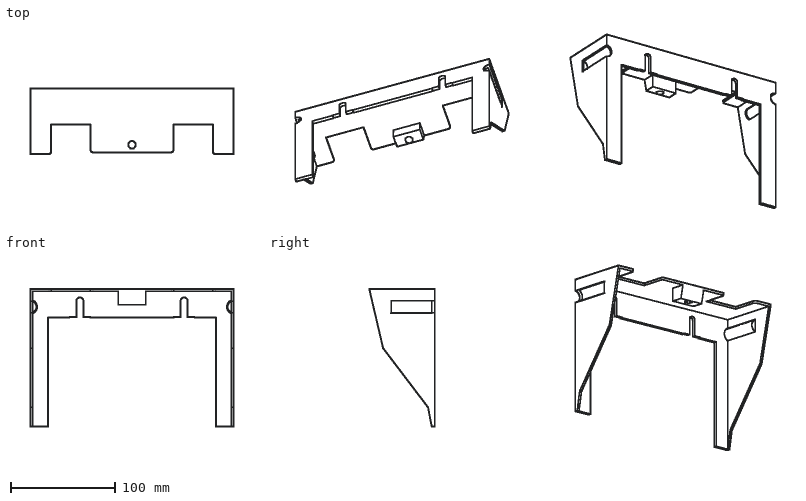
import cadquery as cq

width = 194.9
depth = 63.0
height = 132.0
wall = 2.3
back_thickness = 3.1

upper_reach = 49.7
upper_drop = 56.7
lower_reach = 6.6
lower_drop = 113.5
foot_reach = back_thickness
front_lean = (depth - upper_reach) / upper_drop

leg_width = 17.2
rail_height = 27.5
slot_offset = 49.9
slot_width = 6.5
slot_drop = 8.2
relief_width = 20.0
relief_height = 0.5

notch_outer = width / 2 - 20.0
notch_inner = width / 2 - 57.7
notch_back = 34.7
tab_reach = 61.4
corner_radius = 2.3

block_width = 26.5
block_drop = 15.2
block_back = 46.2
hole_diameter = 7.0
hole_reach = 54.0

channel_drop = 17.2
channel_radius = 5.8
channel_length = 42.0
shell_thickness = 0.8


def box(x_min, x_max, y_min, y_max, z_min, z_max):
    size = (x_max - x_min, y_max - y_min, z_max - z_min)
    return cq.Workplane("XY").box(*size, centered=False).translate((x_min, y_min, z_min))


def side_prism(points, x_min, x_max):
    """Extrude a closed (Y, Z) outline between two X positions."""
    return cq.Workplane("YZ").polyline(points).close().extrude(x_max - x_min).translate((x_min, 0, 0))


def make_side_wall(x_min):
    outline = [
        (0, 0),
        (-depth, 0),
        (-upper_reach, -upper_drop),
        (-lower_reach, -lower_drop),
        (-foot_reach, -height),
        (0, -height),
    ]
    return side_prism(outline, x_min, x_min + wall)


def make_back():
    back = box(-width / 2, width / 2, -back_thickness, 0, -height, 0)
    opening = width / 2 - leg_width
    back = back.cut(box(-opening, opening, -back_thickness, 0, -height, -rail_height))
    radius = slot_width / 2
    for x in (-slot_offset, slot_offset):
        arc_z = -slot_drop - radius
        back = back.cut(box(x - radius, x + radius, -back_thickness, 0, -rail_height, arc_z))
        slot_end = cq.Workplane("XZ").center(x, arc_z).circle(radius).extrude(back_thickness)
        relief = box(
            x - relief_width / 2, x + relief_width / 2,
            -back_thickness, 0,
            -rail_height, -rail_height + relief_height,
        )
        back = back.cut(slot_end).cut(relief)
    return back


def make_top_section(x_min, x_max, reach):
    """Top plate strip whose front edge leans like the upper edge of the side walls."""
    setback = wall * front_lean
    outline = [(0, 0), (-reach, 0), (-reach + setback, -wall), (0, -wall)]
    return side_prism(outline, x_min, x_max)


def make_top():
    plate = box(-width / 2, width / 2, -notch_back, 0, -wall, 0)
    tab = make_top_section(-notch_inner, notch_inner, tab_reach)
    tab = tab.faces("<Y").edges("not(|X)").fillet(corner_radius)
    left_arm = make_top_section(-width / 2, -notch_outer, depth)
    left_arm = left_arm.faces("<Y").edges(">X").fillet(corner_radius)
    return plate.union(tab).union(left_arm).union(left_arm.mirror("YZ"))


def make_block():
    """Block whose front face continues the leaning front edge of the tab."""
    outline = [
        (-block_back, -wall),
        (-tab_reach + wall * front_lean, -wall),
        (-tab_reach + block_drop * front_lean, -block_drop),
        (-block_back, -block_drop),
    ]
    return side_prism(outline, -block_width / 2, block_width / 2)


def channel_cylinder(x, radius, length):
    return cq.Workplane("XZ").center(x, -channel_drop).circle(radius).extrude(length)


body = make_back().union(make_top()).union(make_block())
for x_min in (-width / 2, width / 2 - wall):
    body = body.union(make_side_wall(x_min))

inside = box(-width / 2, width / 2, -depth, 0, -height, 0)
for x in (-width / 2, width / 2):
    shell = channel_cylinder(x, channel_radius + shell_thickness, channel_length + shell_thickness)
    body = body.union(shell.intersect(inside))
    body = body.cut(channel_cylinder(x, channel_radius, channel_length))

screw_hole = cq.Workplane("XY").center(0, -hole_reach).circle(hole_diameter / 2).extrude(-block_drop)
result = body.cut(screw_hole)